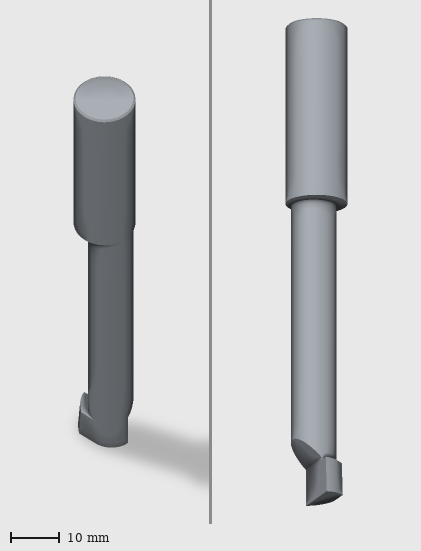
import cadquery as cq
import math

total_length = 101.6
shank_diameter = 12.7
shank_length = 38.1
shank_chamfer = 0.4

neck_diameter = 9.3
neck_radius = neck_diameter / 2
neck_x = shank_diameter / 2 - neck_radius
shank_bottom = total_length - shank_length

tip_x = -6.1
lip_height = 7.6
lip_lean = 0.6
relief_end_x = -4.2
relief_end_y = -3.5
relief_radius = 6.1
heel_x = -2.9

rake_flat_height = 8.2

end_rise_x = 0.04
end_rise_y = 0.11

clearance = 20.3


def make_shank():
    shank = cq.Workplane("XY").workplane(offset=shank_bottom).circle(shank_diameter / 2).extrude(shank_length)
    return shank.faces(">Z").chamfer(shank_chamfer)


def make_neck():
    return cq.Workplane("XY").center(neck_x, 0).circle(neck_radius).extrude(shank_bottom)


def lip_outline(z, shift):
    """Closed lip section at height z, with its outer edges shifted along X."""
    tip = cq.Vector(tip_x + shift, 0, z)
    relief_end = cq.Vector(relief_end_x + shift, relief_end_y, z)
    heel = cq.Vector(heel_x + shift, -neck_radius, z)
    tangent_point = cq.Vector(neck_x, -neck_radius, z)
    neck_axis_point = cq.Vector(neck_x, 0, z)

    chord = relief_end - tip
    half_chord = chord.Length / 2
    bulge = relief_radius - math.sqrt(relief_radius**2 - half_chord**2)
    outward = cq.Vector(chord.y, -chord.x, 0).normalized()
    relief_middle = (tip + relief_end) * 0.5 + outward * bulge

    return cq.Wire.assembleEdges([
        cq.Edge.makeThreePointArc(tip, relief_middle, relief_end),
        cq.Edge.makeLine(relief_end, heel),
        cq.Edge.makeLine(heel, tangent_point),
        cq.Edge.makeLine(tangent_point, neck_axis_point),
        cq.Edge.makeLine(neck_axis_point, tip),
    ])


def make_lip():
    bottom = lip_outline(0, 0)
    top = lip_outline(lip_height, lip_lean)
    return cq.Workplane(cq.Solid.makeLoft([bottom, top], True))


def make_rake_cutter():
    return (
        cq.Workplane("YZ")
        .polyline([
            (0, -clearance),
            (0, rake_flat_height),
            (clearance, rake_flat_height + clearance),
            (clearance, -clearance),
        ])
        .close()
        .extrude(clearance, both=True)
    )


def make_end_cutter():
    """Block below the sloping end face, which passes through the tip."""
    end_plane = cq.Plane(origin=(tip_x, 0, 0), xDir=(1, 0, end_rise_x), normal=(-end_rise_x, end_rise_y, 1))
    return cq.Workplane(end_plane).rect(2 * clearance, 2 * clearance).extrude(-clearance)


result = (
    make_neck()
    .cut(make_rake_cutter())
    .union(make_lip())
    .cut(make_end_cutter())
    .union(make_shank())
)